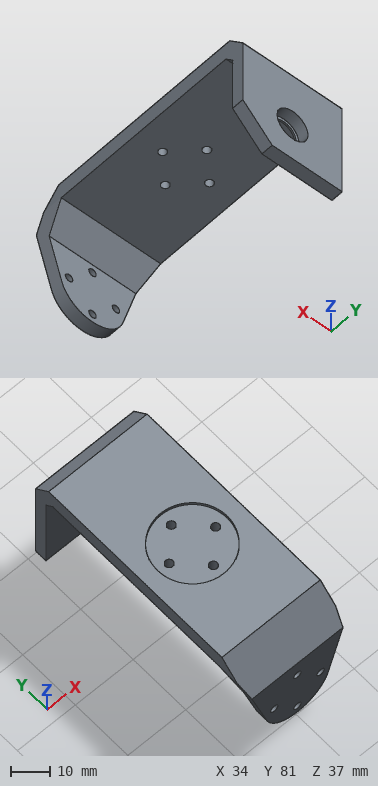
import cadquery as cq
import math

width = 34.0
length = 81.0
height = 37.0
front_y = -40.0
back_y = front_y + length
half_width = width / 2

top_thickness = 5.8
wall_thickness = 4.0
front_outer_bevel = 10.05
front_inner_bevel = 7.1
back_outer_bevel = 5.0
back_inner_bevel = 2.5

axis_z = -24.0
tip_radius = 11.0

corner_cut = 10.05

pocket_diameter = 24.0
pocket_depth = 1.0
screw_diameter = 2.5
screw_circle_radius = 8.0
pivot_diameter = 8.5
pivot_recess_diameter = 10.5
pivot_lip_thickness = 0.5


def bent_strip():
    """Constant-width body: top plate, bevelled bends, front flange and back wall."""
    front_inner_y = front_y + wall_thickness
    back_inner_y = back_y - wall_thickness
    front_tip_z = axis_z - tip_radius
    profile = [
        (front_y, front_tip_z),
        (front_y, -front_outer_bevel),
        (front_y + front_outer_bevel, 0),
        (back_y - back_outer_bevel, 0),
        (back_y, -back_outer_bevel),
        (back_y, -height),
        (back_inner_y, -height),
        (back_inner_y, -top_thickness - back_inner_bevel),
        (back_inner_y - back_inner_bevel, -top_thickness),
        (front_inner_y + front_inner_bevel, -top_thickness),
        (front_inner_y, -top_thickness - front_inner_bevel),
        (front_inner_y, front_tip_z),
    ]
    return cq.Workplane("YZ").polyline(profile).close().extrude(half_width, both=True)


def flange_trim():
    """Material beside and below the flange outline, whose sides are tangent to the tip arc."""
    shoulder_drop = -top_thickness - axis_z
    shoulder_distance = math.hypot(half_width, shoulder_drop)
    tangent_angle = math.atan2(shoulder_drop, half_width) - math.acos(tip_radius / shoulder_distance)
    tangent_x = tip_radius * math.cos(tangent_angle)
    tangent_z = axis_z + tip_radius * math.sin(tangent_angle)
    trim_length = wall_thickness + front_inner_bevel
    plane = cq.Workplane("XZ", origin=(0, front_y, 0))
    outline = (
        plane.moveTo(-half_width, -top_thickness)
        .lineTo(-tangent_x, tangent_z)
        .threePointArc((0, axis_z - tip_radius), (tangent_x, tangent_z))
        .lineTo(half_width, -top_thickness)
        .close()
        .extrude(-trim_length)
    )
    surround = (
        plane.moveTo(0, -(top_thickness + height) / 2)
        .rect(width, height - top_thickness)
        .extrude(-trim_length)
    )
    return surround.cut(outline)


def corner_wedge():
    """Triangular cut at the lower +X corner of the back wall."""
    return (
        cq.Workplane("XZ", origin=(0, back_y, 0))
        .moveTo(half_width, -height)
        .lineTo(half_width - corner_cut, -height)
        .lineTo(half_width, -height + corner_cut)
        .close()
        .extrude(wall_thickness)
    )


def screw_holes(plane, depth):
    """Four screw holes on a circle about the plane's origin."""
    return plane.polarArray(screw_circle_radius, 0, 360, 4).circle(screw_diameter / 2).extrude(depth)


def pivot_hole():
    """Stepped hole through the back wall, a wide recess behind a thin lip on the inner face."""
    plane = cq.Workplane("XZ", origin=(0, back_y, axis_z))
    bore = plane.circle(pivot_diameter / 2).extrude(wall_thickness)
    recess = plane.circle(pivot_recess_diameter / 2).extrude(wall_thickness - pivot_lip_thickness)
    return bore.union(recess)


pocket = cq.Workplane("XY").circle(pocket_diameter / 2).extrude(-pocket_depth)
top_screw_holes = screw_holes(cq.Workplane("XY"), -top_thickness)
flange_plane = cq.Workplane("XZ", origin=(0, front_y, axis_z))
flange_screw_holes = screw_holes(flange_plane, -wall_thickness)

result = (
    bent_strip()
    .cut(flange_trim())
    .cut(corner_wedge())
    .cut(pocket)
    .cut(top_screw_holes)
    .cut(flange_screw_holes)
    .cut(pivot_hole())
)